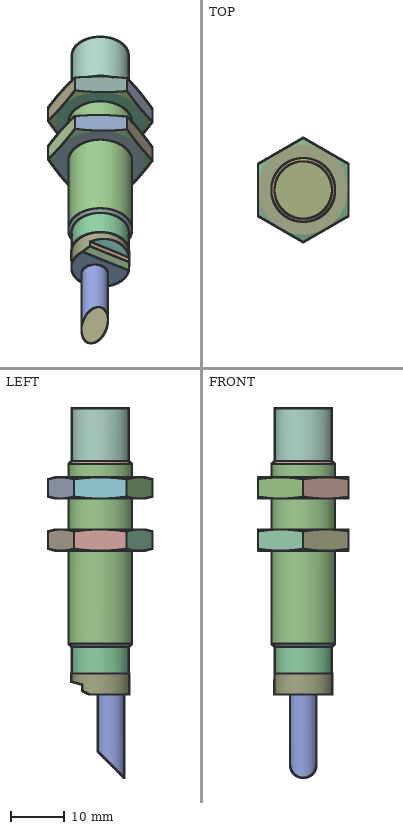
import cadquery as cq
import math

total_height = 69.5
head_diameter = 10.8
cap_diameter = 10.9
thread_diameter = 12.0
thread_top = 59.55
thread_bottom = 24.6
thread_chamfer = (thread_diameter - head_diameter) / 2
cap_top = 19.7
cap_bottom = 15.65

cut_outer_height = 2.4
cut_step_top = 1.9
cut_step_bottom = 0.7
cut_step_y = 3.4
cut_inner_y = 2.0

cable_diameter = 5.0
cable_y = -2.0

nut_flats = 17.0
nut_height = 4.0
nut_bottoms = (42.7, 52.5)
nut_face_diameter = 16.8
nut_chamfer_angle = 15.0

nut_corners = nut_flats / math.cos(math.radians(30))


def cylinder(diameter, bottom, top):
    """Cylinder on the Z axis between two heights."""
    return cq.Workplane("XY").workplane(offset=bottom).circle(diameter / 2).extrude(top - bottom)


def make_cap():
    """End cap whose lower +Y side is cut away in a sloped step."""
    cap = cylinder(cap_diameter, cap_bottom, cap_top)
    outer_y = cap_diameter / 2
    outer_z = cap_bottom + cut_outer_height
    cut = (
        cq.Workplane("YZ")
        .moveTo(cut_inner_y, cap_bottom)
        .lineTo(cut_step_y, cap_bottom + cut_step_bottom)
        .lineTo(cut_step_y, cap_bottom + cut_step_top)
        .lineTo(outer_y, outer_z)
        .lineTo(outer_y, cap_bottom)
        .close()
        .extrude(cap_diameter / 2, both=True)
    )
    return cap.cut(cut)


def make_cable():
    """Round cable with its lower end sloping down to a tip on the -Y side."""
    left_y = cable_y - cable_diameter / 2
    right_y = cable_y + cable_diameter / 2
    slope_cut = (
        cq.Workplane("YZ")
        .polyline([(left_y, 0), (right_y, 0), (right_y, cable_diameter)])
        .close()
        .extrude(cable_diameter, both=True)
    )
    cable = cylinder(cable_diameter, 0, cap_bottom).translate((0, cable_y, 0))
    return cable.cut(slope_cut)


def make_sensor():
    """Sensing head, thread sleeve, end cap and cable as one solid."""
    core = cylinder(head_diameter, cap_top, total_height)
    sleeve = cylinder(thread_diameter, thread_bottom, thread_top)
    sleeve = sleeve.faces("<Z or >Z").chamfer(thread_chamfer)
    return core.union(sleeve).union(make_cap()).union(make_cable())


def make_nut(bottom):
    """Hex nut with conical corner chamfers on both faces."""
    hexagon = (
        cq.Workplane("XY")
        .polygon(6, nut_corners)
        .extrude(nut_height)
        .rotate((0, 0, 0), (0, 0, 1), 30)
    )
    face_radius = nut_face_diameter / 2
    rim_radius = nut_corners / 2
    rim_drop = (rim_radius - face_radius) * math.tan(math.radians(nut_chamfer_angle))
    envelope = (
        cq.Workplane("XZ")
        .polyline([
            (0, 0),
            (face_radius, 0),
            (rim_radius, rim_drop),
            (rim_radius, nut_height - rim_drop),
            (face_radius, nut_height),
            (0, nut_height),
        ])
        .close()
        .revolve()
    )
    bore = cylinder(thread_diameter, 0, nut_height)
    return hexagon.intersect(envelope).cut(bore).translate((0, 0, bottom))


sensor = make_sensor()
nuts = [make_nut(bottom) for bottom in nut_bottoms]

result = cq.Compound.makeCompound([sensor.val(), *[nut.val() for nut in nuts]])